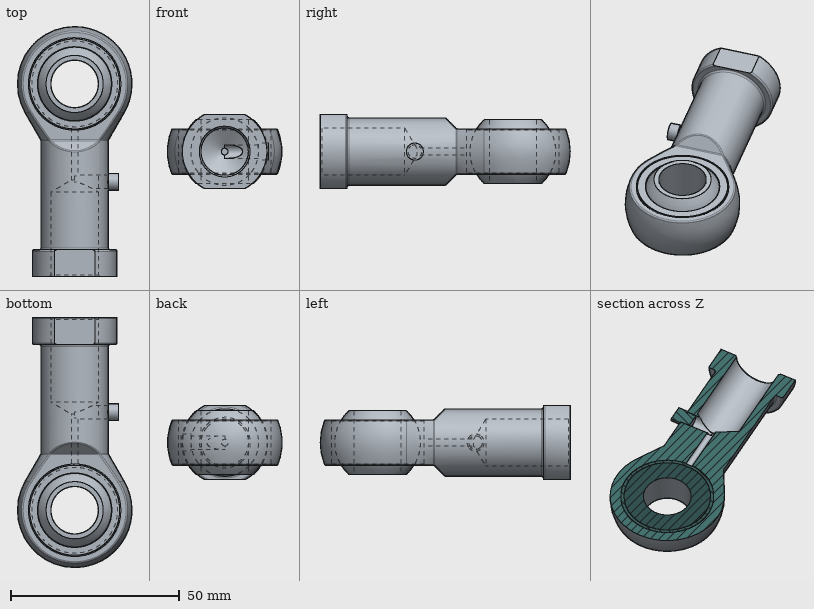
import cadquery as cq
import math


overall_length = 74.0
eye_radius = 34.0 / 2
eye_thickness = 13.5
neck_angle = 30.0
relief_angle = 45.0
edge_round = 0.5

shank_radius = 10.0
collar_radius = 12.5
collar_length = 8.0
collar_across_flats = 22.0
shank_end_y = eye_radius - overall_length

bore_radius = 14.0 / 2
bore_depth = 25.0
bore_cone_angle = 59.0
bore_chamfer = 0.5
oil_hole_radius = 2.0 / 2

race_radius = 13.7
race_chamfer = 0.4
race_mouth_radius = 11.0
ball_radius = 12.7
ball_width = 19.0
ball_bore_radius = 14.0 / 2

nipple_y = -29.0
nipple_head_radius = 2.5
nipple_stem_radius = 2.0
nipple_end_x = 13.0

neck_slope = math.tan(math.radians(neck_angle))
neck_start_x = eye_radius * math.cos(math.radians(neck_angle))
neck_start_y = -eye_radius * math.sin(math.radians(neck_angle))
neck_end_y = neck_start_y - (neck_start_x - shank_radius) / neck_slope


def circular_edges(body, radius, centre):
    """Round edges of the body that have the given radius and centre."""
    tolerance = 0.01
    return body.newObject([
        edge for edge in body.edges("%CIRCLE").vals()
        if abs(edge.radius() - radius) < tolerance
        and (edge.arcCenter() - cq.Vector(*centre)).Length < tolerance
    ])


def make_blank():
    """Spherical eye, neck cone, shank and collar turned about the Y axis."""
    arc_mid_angle = math.radians((90.0 - neck_angle) / 2)
    arc_mid = (eye_radius * math.cos(arc_mid_angle), eye_radius * math.sin(arc_mid_angle))
    collar_top_y = shank_end_y + collar_length
    blank = (
        cq.Workplane("XY")
        .moveTo(0, eye_radius)
        .threePointArc(arc_mid, (neck_start_x, neck_start_y))
        .lineTo(shank_radius, neck_end_y)
        .lineTo(shank_radius, collar_top_y)
        .lineTo(collar_radius, collar_top_y)
        .lineTo(collar_radius, shank_end_y)
        .lineTo(0, shank_end_y)
        .close()
        .revolve(360, (0, 0, 0), (0, 1, 0))
    )
    for radius, y in [
        (shank_radius, neck_end_y),
        (shank_radius, collar_top_y),
        (collar_radius, collar_top_y),
    ]:
        blank = circular_edges(blank, radius, (0, y, 0)).fillet(edge_round)
    return blank


def make_eye_relief():
    """Material removed above the eye: a flat face that slopes up to the shank."""
    half_thickness = eye_thickness / 2
    beyond_eye_y = 2 * eye_radius
    slope_height = eye_radius - half_thickness
    slope_length = slope_height / math.tan(math.radians(relief_angle))
    return (
        cq.Workplane("YZ")
        .moveTo(beyond_eye_y, half_thickness)
        .lineTo(neck_end_y, half_thickness)
        .lineTo(neck_end_y - slope_length, eye_radius)
        .lineTo(beyond_eye_y, eye_radius)
        .close()
        .extrude(eye_radius, both=True)
        .edges(cq.selectors.NearestToPointSelector((0, neck_end_y, half_thickness)))
        .fillet(edge_round)
    )


def make_bore():
    """Blind bore with its mouth chamfer, end cone and oil hole to the race."""
    cone_start_y = shank_end_y + bore_depth
    cone_length = (bore_radius - oil_hole_radius) / math.tan(math.radians(bore_cone_angle))
    mouth_radius = bore_radius + bore_chamfer
    return (
        cq.Workplane("XY")
        .moveTo(0, shank_end_y)
        .lineTo(mouth_radius, shank_end_y)
        .lineTo(bore_radius, shank_end_y + bore_chamfer)
        .lineTo(bore_radius, cone_start_y)
        .lineTo(oil_hole_radius, cone_start_y + cone_length)
        .lineTo(oil_hole_radius, 0)
        .lineTo(0, 0)
        .close()
        .revolve(360, (0, 0, 0), (0, 1, 0))
    )


def cylinder_x(radius, start_x, end_x):
    """Cylinder along X on the nipple axis."""
    return (
        cq.Workplane("YZ", origin=(start_x, nipple_y, 0))
        .circle(radius)
        .extrude(end_x - start_x)
    )


def cylinder_z(radius, height):
    """Cylinder along Z centred on the origin."""
    return cq.Workplane("XY").cylinder(height, radius)


def make_housing():
    """Eye, shank and wrench collar in one piece."""
    housing = make_blank()

    relief = make_eye_relief()
    housing = housing.cut(relief).cut(relief.mirror("XY"))
    half_thickness = eye_thickness / 2
    rim_radius = math.sqrt(eye_radius**2 - half_thickness**2)
    for face_z in (half_thickness, -half_thickness):
        housing = circular_edges(housing, rim_radius, (0, 0, face_z)).fillet(edge_round)

    envelope_width = 3 * eye_radius
    envelope_length = 3 * overall_length
    flats_envelope = cq.Workplane("XY").box(envelope_width, envelope_length, collar_across_flats)
    housing = housing.intersect(flats_envelope)

    race_seat = cylinder_z(race_radius, eye_thickness)
    nipple_hole = cylinder_x(nipple_stem_radius, 0, eye_radius)
    return housing.cut(race_seat).cut(make_bore()).cut(nipple_hole)


def make_race():
    """Ring that fills the housing eye and wraps around the ball."""
    ring = cylinder_z(race_radius, eye_thickness).faces("|Z").edges().chamfer(race_chamfer)
    ring = ring.cut(cq.Workplane("XY").sphere(ball_radius))
    half_thickness = eye_thickness / 2
    countersink = (
        cq.Workplane("XZ")
        .moveTo(0, half_thickness)
        .lineTo(race_mouth_radius, half_thickness)
        .lineTo(0, half_thickness - race_mouth_radius)
        .close()
        .revolve(360, (0, 0, 0), (0, 1, 0))
    )
    return ring.cut(countersink).cut(countersink.mirror("XY"))


def make_ball():
    """Truncated ball with a through bore."""
    slab = cq.Workplane("XY").box(3 * ball_radius, 3 * ball_radius, ball_width)
    bore = cylinder_z(ball_bore_radius, ball_width)
    return cq.Workplane("XY").sphere(ball_radius).intersect(slab).cut(bore)


def make_nipple():
    """Grease nipple: a stem through the shank wall and a round head outside it."""
    stem = cylinder_x(nipple_stem_radius, bore_radius, shank_radius)
    head = cylinder_x(nipple_head_radius, shank_radius, nipple_end_x)
    return stem.union(head)


housing = make_housing()
race = make_race()
ball = make_ball()
nipple = make_nipple()

result = cq.Compound.makeCompound([housing.val(), race.val(), ball.val(), nipple.val()])